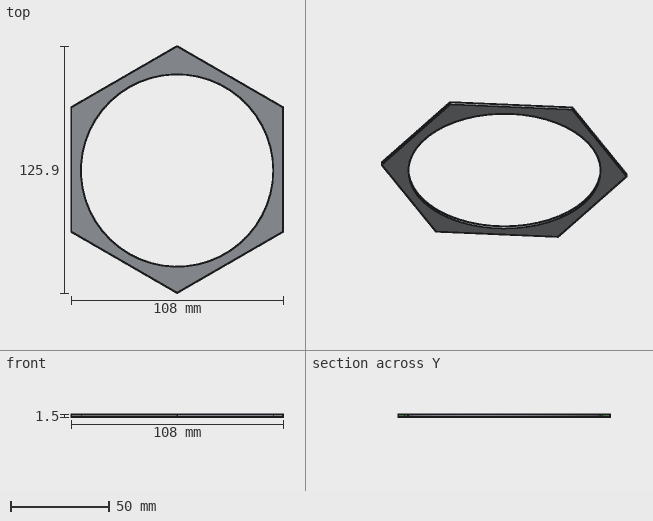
import cadquery as cq
import math

width = 108.0
length = 125.9
thickness = 1.5

bore_diameter = 97.9
bore_offset_y = -0.5

slope_angle = math.radians(30)
half_width = width / 2
half_length = length / 2
shoulder_y = half_length - half_width * math.tan(slope_angle)

outline = [
    (0, half_length),
    (half_width, shoulder_y),
    (half_width, -shoulder_y),
    (0, -half_length),
    (-half_width, -shoulder_y),
    (-half_width, shoulder_y),
]

plate = cq.Workplane("XY").polyline(outline).close().extrude(thickness)
bore = cq.Workplane("XY").center(0, bore_offset_y).circle(bore_diameter / 2).extrude(thickness)

result = plate.cut(bore)